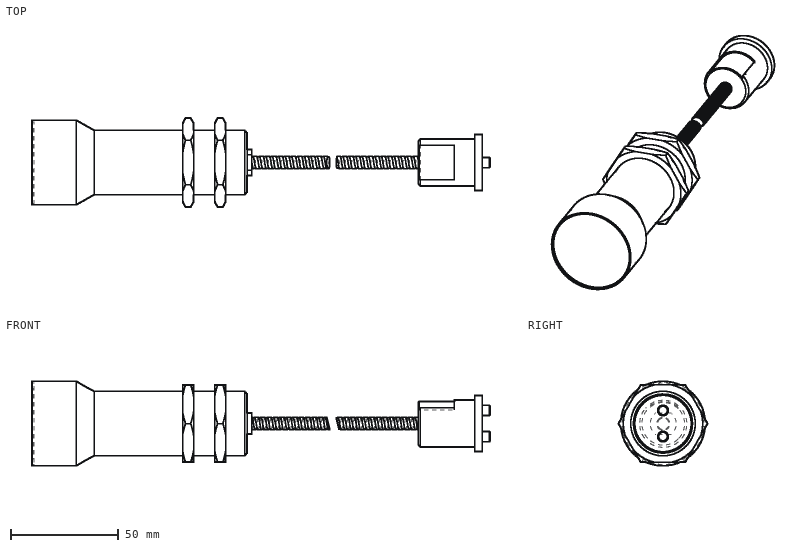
import cadquery as cq
import math

TOTAL_LENGTH = 213.5

HEAD_DIAMETER = 39.5
HEAD_LENGTH = 20.7
BARREL_DIAMETER = 30.0
BARREL_START = 29.0
BARREL_END = 100.3
BARREL_CHAMFER = 1.3

FACE_DIAMETER = 38.0
FACE_TIP_DIAMETER = 0.75
FACE_RECESS_DEPTH = 0.9
FACE_TIP_DEPTH = 0.2

NUT_ACROSS_CORNERS = 41.6
NUT_THICKNESS = 5.1
NUT_STARTS = (70.2, 85.2)
NUT_RIM_DIAMETER = 37.0
NUT_CHAMFER_ANGLE = 30.0

GLAND_DIAMETER = 12.2
GLAND_ACROSS_FLATS = 9.8
GLAND_END = 102.5

CABLE_DIAMETER = 6.0
GROOVE_PITCH = 3.0
GROOVE_WIDTH = 1.3
GROOVE_DEPTH = 0.2
GROOVE_TOP_X = 106.1
BREAK_START = 138.1
BREAK_END = 142.5
BREAK_SLANT = 1.5

PLUG_DIAMETER = 22.0
PLUG_START = 180.0
PLUG_NOSE_DIAMETER = 19.9
PLUG_NOSE_LENGTH = 1.0
FLANGE_DIAMETER = 26.3
FLANGE_START = 206.2
FLANGE_END = 209.9
RELIEF_DIAMETER = 20.7
RELIEF_END = 196.8
RELIEF_WIDTH = 16.2
PIN_DIAMETER = 5.0
PIN_SPACING = 12.2
PIN_CHAMFER = 0.5


def cylinder(diameter, start, end, z=0.0):
    """Round bar along X from start to end."""
    return cq.Workplane("YZ", origin=(start, 0, z)).circle(diameter / 2).extrude(end - start)


def hexagon(across_corners, start, end):
    """Hexagonal bar along X with two corners on the Y axis."""
    return cq.Workplane("YZ", origin=(start, 0, 0)).polygon(6, across_corners).extrude(end - start)


def turned(points):
    """Solid turned about the X axis from (x, radius) points that start and end on the axis."""
    return cq.Workplane("XY").polyline(points).close().revolve(360, (0, 0, 0), (1, 0, 0))


def sensor_housing():
    head_radius = HEAD_DIAMETER / 2
    barrel_radius = BARREL_DIAMETER / 2
    face_radius = FACE_DIAMETER / 2
    return turned([
        (FACE_TIP_DEPTH, 0),
        (FACE_TIP_DEPTH, FACE_TIP_DIAMETER / 2),
        (FACE_RECESS_DEPTH, face_radius),
        (0, face_radius),
        (0, head_radius),
        (HEAD_LENGTH, head_radius),
        (BARREL_START, barrel_radius),
        (BARREL_END - BARREL_CHAMFER, barrel_radius),
        (BARREL_END, barrel_radius - BARREL_CHAMFER),
        (BARREL_END, 0),
    ])


def nut(start):
    """Hexagon nut blank whose corners are chamfered on both faces."""
    end = start + NUT_THICKNESS
    rim_radius = NUT_RIM_DIAMETER / 2
    corner_radius = NUT_ACROSS_CORNERS / 2
    chamfer_length = (corner_radius - rim_radius) * math.tan(math.radians(NUT_CHAMFER_ANGLE))
    chamfer_envelope = turned([
        (start, 0),
        (start, rim_radius),
        (start + chamfer_length, corner_radius),
        (end - chamfer_length, corner_radius),
        (end, rim_radius),
        (end, 0),
    ])
    return hexagon(NUT_ACROSS_CORNERS, start, end).intersect(chamfer_envelope)


def gland():
    """Short round collar with two wrench flats facing up and down."""
    flats = cq.Workplane("XY").box(2 * GLAND_END, GLAND_DIAMETER, GLAND_ACROSS_FLATS)
    return cylinder(GLAND_DIAMETER, BARREL_END, GLAND_END).intersect(flats)


def polar(radius, angle):
    """Point at a radius and angle in radians."""
    return (radius * math.cos(angle), radius * math.sin(angle))


def grooved_bar(start, end):
    """Twist the cable's cross-section along X, so its one shallow sector winds into a spiral groove."""
    crest_radius = CABLE_DIAMETER / 2
    groove_radius = crest_radius - GROOVE_DEPTH
    groove_middle = math.radians(90 + 360 * (start - GROOVE_TOP_X) / GROOVE_PITCH)
    half_groove = math.pi * GROOVE_WIDTH / GROOVE_PITCH
    groove_first = groove_middle - half_groove
    groove_last = groove_middle + half_groove
    length = end - start
    return (
        cq.Workplane("YZ", origin=(start, 0, 0))
        .moveTo(*polar(crest_radius, groove_first))
        .lineTo(*polar(groove_radius, groove_first))
        .threePointArc(polar(groove_radius, groove_middle), polar(groove_radius, groove_last))
        .lineTo(*polar(crest_radius, groove_last))
        .threePointArc(polar(crest_radius, groove_middle + math.pi), polar(crest_radius, groove_first))
        .close()
        .twistExtrude(length, 360 * length / GROOVE_PITCH)
    )


def cable_break():
    """Slanted block that parts the cable: both its faces lean towards +X going down."""
    half_height = CABLE_DIAMETER
    lean = BREAK_SLANT
    return (
        cq.Workplane("XZ")
        .polyline([
            (BREAK_START - lean, half_height),
            (BREAK_END - lean, half_height),
            (BREAK_END + lean, -half_height),
            (BREAK_START + lean, -half_height),
        ])
        .close()
        .extrude(CABLE_DIAMETER, both=True)
    )


def make_sensor():
    """Housing with its nuts, gland and the first length of cable."""
    body = sensor_housing()
    for start in NUT_STARTS:
        body = body.union(nut(start))
    body = body.union(gland())
    first_cable = grooved_bar(GLAND_END, BREAK_START + BREAK_SLANT).cut(cable_break())
    return body.union(first_cable)


def plug_relief():
    """Shallow curved step in the top of the plug, open at the cable end."""
    block = (
        cq.Workplane("XY", origin=(PLUG_START, 0, 0))
        .rect(2 * (RELIEF_END - PLUG_START), RELIEF_WIDTH)
        .extrude(PLUG_DIAMETER)
    )
    return block.cut(cylinder(RELIEF_DIAMETER, PLUG_START, RELIEF_END))


def make_plug():
    """Flanged plug with two contact pins and the second length of cable."""
    plug_radius = PLUG_DIAMETER / 2
    body = turned([
        (PLUG_START, 0),
        (PLUG_START, PLUG_NOSE_DIAMETER / 2),
        (PLUG_START + PLUG_NOSE_LENGTH, plug_radius),
        (FLANGE_START, plug_radius),
        (FLANGE_START, FLANGE_DIAMETER / 2),
        (FLANGE_END, FLANGE_DIAMETER / 2),
        (FLANGE_END, 0),
    ])
    body = body.cut(plug_relief())
    for side in (-1, 1):
        pin = cylinder(PIN_DIAMETER, FLANGE_END, TOTAL_LENGTH, side * PIN_SPACING / 2)
        body = body.union(pin.faces(">X").chamfer(PIN_CHAMFER))
    second_cable = grooved_bar(BREAK_END - BREAK_SLANT, PLUG_START).cut(cable_break())
    return body.union(second_cable)


sensor = make_sensor()
plug = make_plug()

result = cq.Compound.makeCompound([sensor.solids().val(), plug.solids().val()])